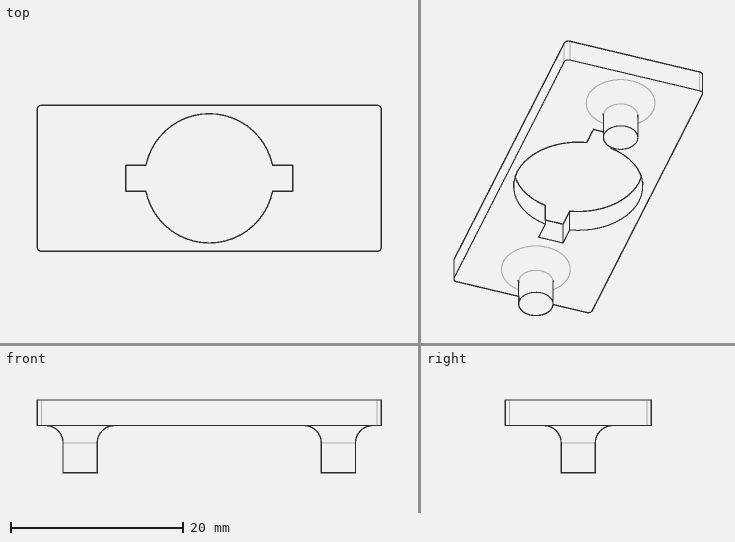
import cadquery as cq

plate_length = 40.0
plate_width = 17.0
plate_thickness = 3.0
corner_radius = 0.5

bore_diameter = 15.0
slot_length = 19.4
slot_width = 3.0

overall_height = 8.5
pin_diameter = 4.0
pin_spacing = 30.0
pin_root_radius = 2.0
pin_length = overall_height - plate_thickness


def make_plate():
    """Plate with rounded vertical corners and its underside at Z = 0."""
    plate = cq.Workplane("XY").rect(plate_length, plate_width).extrude(plate_thickness)
    return plate.edges("|Z").fillet(corner_radius)


def make_opening():
    """Round bore crossed by a rectangular slot along X."""
    bore = cq.Workplane("XY").circle(bore_diameter / 2).extrude(plate_thickness)
    slot = cq.Workplane("XY").rect(slot_length, slot_width).extrude(plate_thickness)
    return bore.union(slot)


def make_pin(x_position):
    """Revolved pin hanging from the plate, flared at its root by a concave arc."""
    pin_radius = pin_diameter / 2
    flare_radius = pin_radius + pin_root_radius
    profile = (
        cq.Workplane("XZ")
        .moveTo(0, -pin_length)
        .lineTo(pin_radius, -pin_length)
        .lineTo(pin_radius, -pin_root_radius)
        .radiusArc((flare_radius, 0), pin_root_radius)
        .lineTo(0, 0)
        .close()
    )
    return profile.revolve(360, (0, 0, 0), (0, 1, 0)).translate((x_position, 0, 0))


result = make_plate().cut(make_opening())
for side in (-1, 1):
    result = result.union(make_pin(side * pin_spacing / 2))